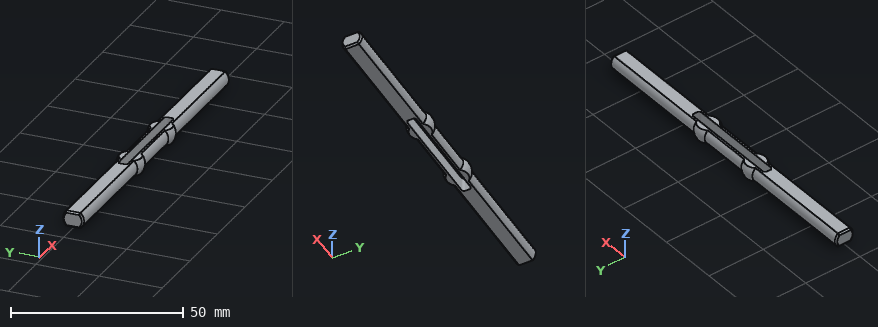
import cadquery as cq

rod_length = 106.2
rod_diameter = 6.7
thickness = 5.0
end_chamfer = 0.5

bulge_diameter = 8.5
bulge_spacing = 22.4

slot_length = 34.3
slot_width = 3.0
slot_corner_radius = 0.8


def rod():
    """Round bar trimmed to the flats, with chamfered ends."""
    flats = cq.Workplane().box(rod_length, rod_diameter, thickness)
    return (
        cq.Workplane("YZ", origin=(-rod_length / 2, 0, 0))
        .circle(rod_diameter / 2)
        .extrude(rod_length)
        .intersect(flats)
        .faces("<X or >X")
        .chamfer(end_chamfer)
    )


def bulge(x):
    """Sphere centred on the rod axis, cut flush with the flats."""
    slab = cq.Workplane().box(bulge_diameter, bulge_diameter, thickness)
    return cq.Workplane().sphere(bulge_diameter / 2).intersect(slab).translate((x, 0, 0))


def slot():
    """Cutter for the through slot with rounded corners."""
    return cq.Workplane().box(slot_length, slot_width, thickness).edges("|Z").fillet(slot_corner_radius)


body = rod()
for side in (-1, 1):
    body = body.union(bulge(side * bulge_spacing / 2))

result = body.cut(slot())